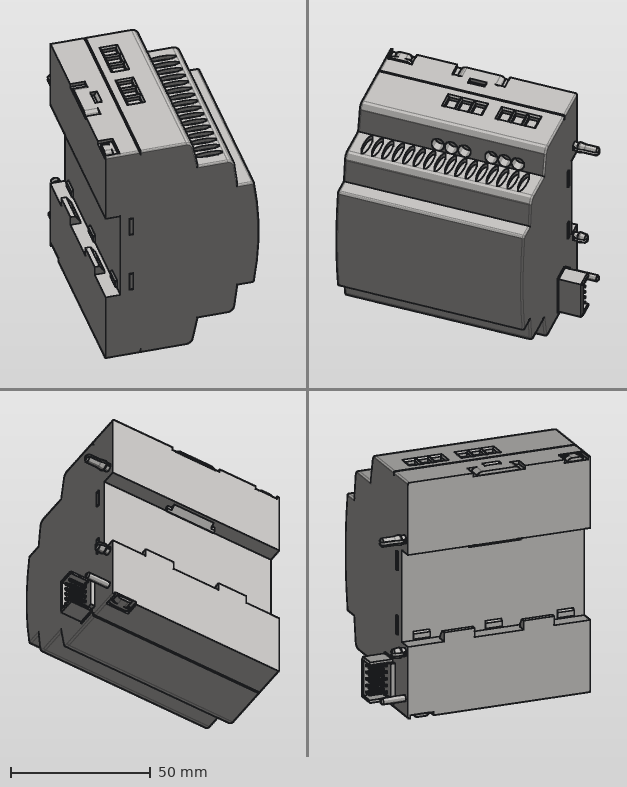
import cadquery as cq
import math

BODY_W = 71.0
BODY_D = 57.2
BODY_H = 90.0
HALF_W = BODY_W / 2
HALF_H = BODY_H / 2

RAIL_HALF = 35.0 / 2
RAIL_D = 5.5

LOWER_STEP_Z = 34.0
UPPER_STEP_Z = 22.45
LOWER_TOP_Y = 32.2
LOWER_FOOT_Y = 34.45
UPPER_TOP_Y = 47.8
UPPER_FOOT_Y = 49.25
NOSE_Y = 55.3
LOWER_R = 2.7
UPPER_R = 2.8
NOSE_R = 1.0
EDGE_R = 0.7

GROOVE_Y = 12.8
GROOVE_W = 0.6
GROOVE_D = 1.6

TERMINAL_PITCH = 5.08
TERMINAL_GROUP_X = (-4 * TERMINAL_PITCH, 0.0)
TERMINALS_PER_GROUP = 3
WELL_Y = 19.45
WELL_H = 6.7
WELL_INNER_W = 3.9
WELL_INNER_H = 5.2
WELL_TAPER_D = 0.7
WELL_D = 2.0
SCREW_D = 4.7
SCREW_Z = 36.4
SCREW_DEPTH = 4.0

VENT_COUNT = 16
VENT_PITCH = 3.97
VENT_W = 2.6
VENT_L = 10.1
VENT_Y = 40.1
VENT_D = 1.7

POCKET_D = 1.3
POCKET_L = RAIL_D
LATCH_HALF_W = 10.05
LATCH_HALF_BASE = 8.4
LATCH_HALF_TOP = 6.4
LATCH_SETBACK = 0.3
GRIP_W = 6.4
GRIP_Y = 5.5
GRIP_FLOOR_L = 1.4
GRIP_SLOPE_L = 1.1
GRIP_D = 1.5

LATCH_HOOK_Y = (1.3, 4.0, 4.5)
LATCH_HOOK_DROP = 2.1
LATCH_CORNER_Y = 3.1

FOOT_X = 30.0
FOOT_POCKET_W = 9.1
FOOT_STEM_HALF = (3.1, 1.4)
FOOT_STEM_Y = (0.6, 3.4)
FOOT_HEAD_HALF = (4.2, 2.4)
FOOT_HEAD_Y = (3.4, 5.3)
FOOT_HEAD_BEVEL = 0.5

RAIL_HOOK_X = 15.5
RAIL_HOOK_W = 11.9
RAIL_HOOK_H = 3.45
RAIL_HOOK_TOP_Y = 1.85
RAIL_HOOK_ROOT_Y = 3.8
RAIL_HOOK_LAND = 0.7

TAB_PITCH = 28.0
TAB_W = 6.3
TAB_H = 3.4
TAB_T = 0.7

BUMP_H = 0.4
BUMP_T = 1.4
BUMP_L = 7.0
BUMP_Y = 9.5
BUMP_Z = 12.25

SIDE_REACH = 9.5
PIN_Y = 3.0
LONG_PIN_Z = 22.5
SHORT_PIN_Z = -20.4
SHORT_PIN_REACH = 5.1
PIN_R = 1.6
PIN_COLLAR_R = 1.9
PIN_CHAMFER = 0.7
PIN_COLLAR_FOOT = 1.6
PIN_COLLAR_PEAK = (1.9, 2.4)
PIN_COLLAR_TIP = 4.3
PIN_SLOT_W = 1.1
PIN_SLOT_END = 0.4
GUIDE_PIN_Z = -38.0
GUIDE_PIN_R = 1.2
GUIDE_PIN_REACH = 9.35
GUIDE_PIN_CHAMFER = 0.65

CONN_Z = -34.45
CONN_H = 15.5
CONN_Y0 = 13.6
CONN_Y1 = 20.2
CONN_WALL = 1.1
CONN_CHAMFER = 0.65
CONN_BEVEL = 0.4
CONN_FLANGE = 0.35
CONN_FLANGE_T = 0.4
CONN_BASE = 1.7
BAR_W = 13.4
BAR_Y0 = 11.75
CONTACT_PITCH = 2.54
CONTACT_W = 0.64
CONTACT_REACH = 8.9
CONTACT_TIP = 0.3
CONTACT_Y = 16.45
CONTACT_ROWS = 5

EMBED = 0.5
OVERCUT = 1.0


def span_box(x, y, z):
    """Box between the given (low, high) limits."""
    size = (x[1] - x[0], y[1] - y[0], z[1] - z[0])
    return cq.Workplane("XY").box(*size, centered=False).translate((x[0], y[0], z[0]))


def yz_prism(points, x0, x1):
    """Straight-sided (Y, Z) outline extruded from x0 to x1."""
    return cq.Workplane("YZ").workplane(offset=x0).polyline(points).close().extrude(x1 - x0)


def housing():
    """Stepped housing with its rail channel, rounded shoulders and softened side outlines."""
    half = [
        (RAIL_D, RAIL_HALF),
        (0, RAIL_HALF),
        (0, HALF_H),
        (LOWER_TOP_Y, HALF_H),
        (LOWER_FOOT_Y, LOWER_STEP_Z),
        (UPPER_TOP_Y, LOWER_STEP_Z),
        (UPPER_FOOT_Y, UPPER_STEP_Z),
        (NOSE_Y, UPPER_STEP_Z),
    ]
    outline = cq.Workplane("YZ").workplane(offset=-HALF_W).polyline(half)
    outline = outline.threePointArc((BODY_D, 0), (NOSE_Y, -UPPER_STEP_Z))
    for y, z in half[-2::-1]:
        outline = outline.lineTo(y, -z)
    body = outline.close().extrude(BODY_W)

    rounds = (
        (LOWER_TOP_Y, HALF_H, LOWER_R),
        (UPPER_TOP_Y, LOWER_STEP_Z, UPPER_R),
        (NOSE_Y, UPPER_STEP_Z, NOSE_R),
    )
    for y, z, radius in rounds:
        for side in (1, -1):
            corner = cq.selectors.NearestToPointSelector((0, y, side * z))
            body = body.edges(corner).fillet(radius)

    front_of_back = cq.selectors.BoxSelector((-BODY_W, RAIL_D + OVERCUT, -BODY_H), (BODY_W, BODY_H, BODY_H))
    return body.faces("<X or >X").edges(front_of_back).fillet(EDGE_R)


def parting_groove(side):
    """V groove across the top (side = 1) or the bottom (side = -1), steep toward the front."""
    outline = [
        (GROOVE_Y - GROOVE_W / 2, side * HALF_H),
        (GROOVE_Y + GROOVE_W / 2, side * (HALF_H - GROOVE_D)),
        (GROOVE_Y + GROOVE_W / 2, side * HALF_H),
    ]
    return yz_prism(outline, -BODY_W, BODY_W)


def terminal_positions():
    """X positions of all terminals, group by group."""
    middle = (TERMINALS_PER_GROUP - 1) / 2
    return [x + (i - middle) * TERMINAL_PITCH for x in TERMINAL_GROUP_X for i in range(TERMINALS_PER_GROUP)]


def terminal_well(x):
    """Wire entry: a tapered mouth leading into a straight rectangular well."""
    mouth = (
        cq.Workplane("XY").workplane(offset=HALF_H).center(x, WELL_Y).rect(TERMINAL_PITCH, WELL_H)
        .workplane(offset=-WELL_TAPER_D).rect(WELL_INNER_W, WELL_INNER_H).loft(combine=True)
    )
    well = span_box(
        (x - WELL_INNER_W / 2, x + WELL_INNER_W / 2),
        (WELL_Y - WELL_INNER_H / 2, WELL_Y + WELL_INNER_H / 2),
        (HALF_H - WELL_D, HALF_H - WELL_TAPER_D),
    )
    return mouth.union(well)


def screw_hole(x):
    """Screwdriver hole into the riser above the lower shoulder."""
    start = cq.Workplane("XZ", origin=(x, LOWER_FOOT_Y, SCREW_Z))
    return start.circle(SCREW_D / 2).extrude(SCREW_DEPTH)


def vents():
    """Row of elliptical vents in the lower shoulder."""
    row = cq.Workplane("XY", origin=(0, VENT_Y, LOWER_STEP_Z)).rarray(VENT_PITCH, 1, VENT_COUNT, 1)
    return row.ellipse(VENT_W / 2, VENT_L / 2).extrude(-VENT_D)


def crowned_plate(x, half_base, half_top, y0, y1):
    """Plate standing in an outer-face pocket; its flanks curve into the flat top."""
    run = half_base - half_top
    radius = (run**2 + POCKET_D**2) / (2 * POCKET_D)
    half_angle = math.asin(run / radius) / 2
    mid_x = half_top + radius * math.sin(half_angle)
    mid_z = HALF_H - radius * (1 - math.cos(half_angle))
    base_z = HALF_H - POCKET_D
    outline = (
        cq.Workplane("XZ", origin=(x, y1, 0))
        .moveTo(-half_base, base_z - EMBED)
        .lineTo(-half_base, base_z)
        .threePointArc((-mid_x, mid_z), (-half_top, HALF_H))
        .lineTo(half_top, HALF_H)
        .threePointArc((mid_x, mid_z), (half_base, base_z))
        .lineTo(half_base, base_z - EMBED)
        .close()
    )
    return outline.extrude(y1 - y0)


def back_pocket(x, half_width):
    """Shallow pocket in the top face, open to the back."""
    y_limits = (-OVERCUT, POCKET_L)
    z_limits = (HALF_H - POCKET_D, HALF_H + OVERCUT)
    return span_box((x - half_width, x + half_width), y_limits, z_limits)


def latch_grip():
    """Screwdriver recess with one sloped wall."""
    floor_end = GRIP_Y + GRIP_FLOOR_L
    outline = [
        (GRIP_Y, HALF_H),
        (GRIP_Y, HALF_H - GRIP_D),
        (floor_end, HALF_H - GRIP_D),
        (floor_end + GRIP_SLOPE_L, HALF_H),
    ]
    return yz_prism(outline, -GRIP_W / 2, GRIP_W / 2)


def latch_hook():
    """Wedge hanging into the channel, with its two front corners cut back."""
    ramp_y, tip_y, root_y = LATCH_HOOK_Y
    tip_z = RAIL_HALF - LATCH_HOOK_DROP
    outline = [
        (ramp_y, RAIL_HALF + EMBED),
        (ramp_y, RAIL_HALF),
        (tip_y, tip_z),
        (root_y, RAIL_HALF),
        (root_y, RAIL_HALF + EMBED),
    ]
    hook = yz_prism(outline, -LATCH_HALF_W, LATCH_HALF_W)
    for side in (1, -1):
        x_limits = sorted((side * LATCH_HALF_BASE, side * BODY_W))
        hook = hook.cut(span_box(x_limits, (-OVERCUT, LATCH_CORNER_Y), (tip_z, RAIL_HALF)))
    return hook


def mounting_foot():
    """T-shaped foot standing in its pocket near the right end of the top face."""
    stem = crowned_plate(FOOT_X, *FOOT_STEM_HALF, *FOOT_STEM_Y)
    head = crowned_plate(FOOT_X, *FOOT_HEAD_HALF, *FOOT_HEAD_Y)
    head_end = FOOT_HEAD_Y[1]
    bevel = [
        (head_end, HALF_H - POCKET_D),
        (head_end, HALF_H),
        (head_end - FOOT_HEAD_BEVEL, HALF_H),
    ]
    head = head.cut(yz_prism(bevel, 0, BODY_W))
    return stem.union(head)


def half_turn(shape):
    """Copy of a top feature turned onto the bottom face."""
    return shape.rotate((0, 0, 0), (0, 1, 0), 180)


def rail_hook(x):
    """Fixed hook over the lower edge of the rail."""
    outline = [
        (0, -RAIL_HALF - EMBED),
        (0, -RAIL_HALF + RAIL_HOOK_H),
        (RAIL_HOOK_TOP_Y, -RAIL_HALF + RAIL_HOOK_H),
        (RAIL_HOOK_ROOT_Y, -RAIL_HALF + RAIL_HOOK_LAND),
        (RAIL_HOOK_ROOT_Y, -RAIL_HALF - EMBED),
    ]
    return yz_prism(outline, x - RAIL_HOOK_W / 2, x + RAIL_HOOK_W / 2)


def rail_tab(x):
    """Raised pad on the channel floor with sloped upper and lower ends."""
    face_y = RAIL_D - TAB_T
    outline = [
        (RAIL_D + EMBED, -RAIL_HALF),
        (RAIL_D, -RAIL_HALF),
        (face_y, -RAIL_HALF + TAB_T),
        (face_y, -RAIL_HALF + TAB_H - TAB_T),
        (RAIL_D, -RAIL_HALF + TAB_H),
        (RAIL_D + EMBED, -RAIL_HALF + TAB_H),
    ]
    return yz_prism(outline, x - TAB_W / 2, x + TAB_W / 2)


def side_bumps(z):
    """Bar through the housing that stands proud of both sides."""
    half_x = HALF_W + BUMP_H
    return span_box(
        (-half_x, half_x),
        (BUMP_Y - BUMP_T / 2, BUMP_Y + BUMP_T / 2),
        (z - BUMP_L / 2, z + BUMP_L / 2),
    )


def turned_pin(profile, z):
    """Pin on the left side, turned from (reach, radius) points."""
    points = [(-EMBED, 0), (-EMBED, profile[0][1])] + profile + [(profile[-1][0], 0)]
    outline = cq.Workplane("XY").polyline([(-HALF_W - reach, radius) for reach, radius in points]).close()
    return outline.revolve(360, (0, 0, 0), (1, 0, 0)).translate((0, PIN_Y, z))


def snap_pin(z, reach):
    """Slotted pin with a barbed collar."""
    profile = [
        (PIN_COLLAR_FOOT, PIN_R),
        (PIN_COLLAR_PEAK[0], PIN_COLLAR_R),
        (PIN_COLLAR_PEAK[1], PIN_COLLAR_R),
        (PIN_COLLAR_TIP, PIN_R),
        (reach - PIN_CHAMFER, PIN_R),
        (reach, PIN_R - PIN_CHAMFER),
    ]
    slot = span_box(
        (-HALF_W - SIDE_REACH - OVERCUT, -HALF_W - PIN_SLOT_END),
        (PIN_Y - PIN_COLLAR_R, PIN_Y + PIN_COLLAR_R),
        (z - PIN_SLOT_W / 2, z + PIN_SLOT_W / 2),
    )
    return turned_pin(profile, z).cut(slot)


def guide_pin():
    """Plain pin with a chamfered tip."""
    profile = [
        (GUIDE_PIN_REACH - GUIDE_PIN_CHAMFER, GUIDE_PIN_R),
        (GUIDE_PIN_REACH, GUIDE_PIN_R - GUIDE_PIN_CHAMFER),
    ]
    return turned_pin(profile, GUIDE_PIN_Z)


def connector():
    """Shrouded two-row pin header, open toward the back, with a bar behind it."""
    tip_x = -HALF_W - SIDE_REACH
    inside_x = -HALF_W + EMBED
    z0 = CONN_Z - CONN_H / 2
    z1 = CONN_Z + CONN_H / 2
    shell = span_box((tip_x, inside_x), (CONN_Y0, CONN_Y1), (z0, z1))
    shell = shell.faces("<X").edges("not <Y").chamfer(CONN_CHAMFER)
    flange = span_box(
        (-HALF_W - CONN_FLANGE_T, inside_x),
        (CONN_Y0, CONN_Y1 + CONN_FLANGE),
        (z0 - CONN_FLANGE, z1 + CONN_FLANGE),
    )
    cavity_y0 = CONN_Y0 - OVERCUT - CONN_BEVEL
    cavity_y1 = CONN_Y1 - CONN_WALL
    cavity_half_h = CONN_H / 2 - CONN_WALL
    cavity = span_box(
        (tip_x, -HALF_W - CONN_BASE),
        (cavity_y0, cavity_y1),
        (CONN_Z - cavity_half_h, CONN_Z + cavity_half_h),
    )
    cavity = cavity.faces(">X").edges("not <Y").chamfer(CONN_BEVEL)
    mouth_center_y = (cavity_y0 + cavity_y1) / 2
    mouth = (
        cq.Workplane("YZ", origin=(tip_x, mouth_center_y, CONN_Z))
        .rect(cavity_y1 - cavity_y0 + 2 * CONN_BEVEL, 2 * (cavity_half_h + CONN_BEVEL))
        .extrude(CONN_BEVEL, taper=45)
    )
    cavity = cavity.union(mouth)
    bar = span_box(
        (-HALF_W - CONN_BASE, inside_x),
        (BAR_Y0, CONN_Y0 + EMBED),
        (CONN_Z - BAR_W / 2, CONN_Z + BAR_W / 2),
    )
    header = shell.union(flange).cut(cavity).union(bar)

    shank_end = HALF_W + CONTACT_REACH - CONTACT_TIP
    shank = (
        cq.Workplane("YZ", origin=(-shank_end, 0, 0)).rect(CONTACT_W, CONTACT_W)
        .extrude(CONTACT_REACH - CONTACT_TIP)
    )
    tip = (
        cq.Workplane("YZ", origin=(-shank_end, 0, 0)).rect(CONTACT_W, CONTACT_W)
        .extrude(-CONTACT_TIP, taper=45)
    )
    contact = shank.union(tip)
    for row in range(CONTACT_ROWS):
        z = CONN_Z + (row - (CONTACT_ROWS - 1) / 2) * CONTACT_PITCH
        for side in (0.5, -0.5):
            header = header.union(contact.translate((0, CONTACT_Y + side * CONTACT_PITCH, z)))
    return header


part = housing()

for x in terminal_positions():
    part = part.cut(terminal_well(x)).cut(screw_hole(x))
part = part.cut(vents())

foot_pocket = back_pocket(FOOT_X, FOOT_POCKET_W / 2)
foot = mounting_foot()
part = part.cut(parting_groove(1)).cut(parting_groove(-1))
part = part.cut(foot_pocket).cut(half_turn(foot_pocket))
part = part.union(foot).union(half_turn(foot))

part = part.cut(back_pocket(0, LATCH_HALF_W)).cut(latch_grip())
part = part.union(crowned_plate(0, LATCH_HALF_BASE, LATCH_HALF_TOP, LATCH_SETBACK, POCKET_L))
part = part.union(latch_hook())

for side in (1, -1):
    part = part.union(rail_hook(side * RAIL_HOOK_X))
    part = part.union(side_bumps(side * BUMP_Z))
for column in (-1, 0, 1):
    part = part.union(rail_tab(column * TAB_PITCH))

part = part.union(snap_pin(LONG_PIN_Z, SIDE_REACH))
part = part.union(snap_pin(SHORT_PIN_Z, SHORT_PIN_REACH))
part = part.union(guide_pin())
part = part.union(connector())

result = part